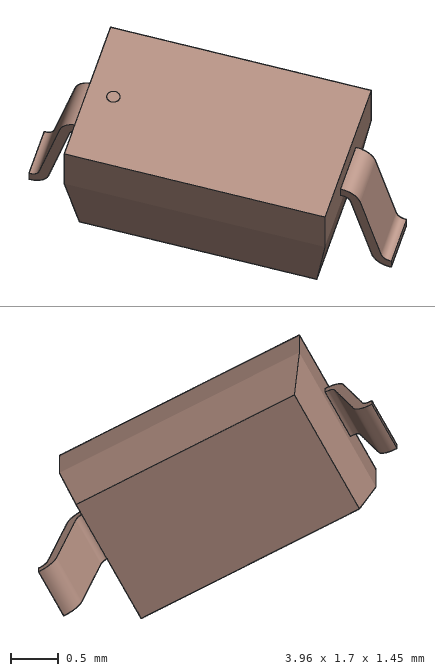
import cadquery as cq
import math

span_x = 3.96
total_height = 1.45

housing_length = 2.85
housing_width = 1.7
standoff = 0.10
parting_z = 0.908
taper_angle = 9.0

lead_width = 0.56
lead_thickness = 0.11
lead_inner_radius = 0.10
lead_top_z = 1.187
lead_exit_z = lead_top_z - lead_thickness / 2
lead_slant = 15.0

marker_diameter = 0.14
marker_depth = 0.05
marker_x = -0.8 * housing_length / 2


def make_marker():
    return (
        cq.Workplane("XY", origin=(marker_x, 0, total_height))
        .circle(marker_diameter / 2)
        .extrude(-marker_depth)
    )


def make_housing():
    parting_plane = cq.Workplane("XY", origin=(0, 0, parting_z))
    upper = parting_plane.rect(housing_length, housing_width).extrude(total_height - parting_z)
    lower = parting_plane.rect(housing_length, housing_width).extrude(
        standoff - parting_z, taper=taper_angle
    )
    return upper.union(lower).cut(make_marker())


def lead_centreline():
    """S-shaped path from the housing's +X end face down to the foot, at mid-thickness."""
    bend_radius = lead_inner_radius + lead_thickness / 2
    bend = math.radians(90 - lead_slant)
    bend_run = bend_radius * math.sin(bend)
    bend_drop = bend_radius * (1 - math.cos(bend))
    half_bend_run = bend_radius * math.sin(bend / 2)
    half_bend_drop = bend_radius * (1 - math.cos(bend / 2))

    start_x = housing_length / 2
    end_x = span_x / 2
    end_z = lead_thickness / 2

    leg_drop = lead_exit_z - end_z - 2 * bend_drop
    leg_run = leg_drop * math.tan(math.radians(lead_slant))
    flat = (end_x - start_x - 2 * bend_run - leg_run) / 2
    upper_x = start_x + flat
    lower_x = end_x - flat

    return (
        cq.Workplane("XZ")
        .moveTo(start_x, lead_exit_z)
        .lineTo(upper_x, lead_exit_z)
        .threePointArc(
            (upper_x + half_bend_run, lead_exit_z - half_bend_drop),
            (upper_x + bend_run, lead_exit_z - bend_drop),
        )
        .lineTo(lower_x - bend_run, end_z + bend_drop)
        .threePointArc(
            (lower_x - half_bend_run, end_z + half_bend_drop),
            (lower_x, end_z),
        )
        .lineTo(end_x, end_z)
    )


def make_lead(turn):
    """One lead, turned about Z by the given angle from the +X end."""
    return (
        cq.Workplane("YZ", origin=(housing_length / 2, 0, lead_exit_z))
        .rect(lead_width, lead_thickness)
        .sweep(lead_centreline())
        .rotate((0, 0, 0), (0, 0, 1), turn)
    )


housing = make_housing()
marker = make_marker()
leads = [make_lead(turn) for turn in (0, 180)]

result = cq.Compound.makeCompound(
    [housing.solids().val(), marker.val(), *[lead.val() for lead in leads]]
)